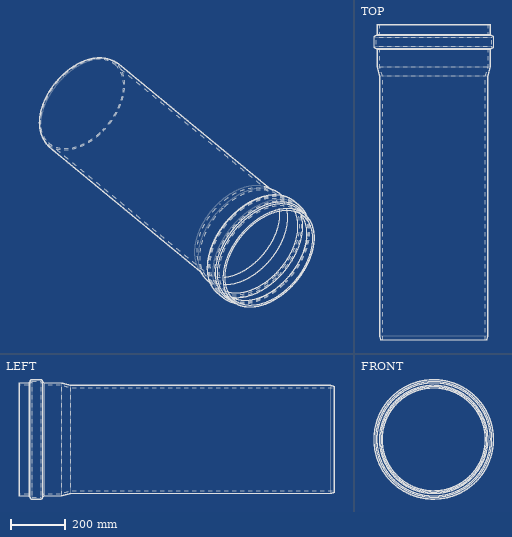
import cadquery as cq
import math

length = 1165.0

pipe_radius = 401.0 / 2
bore_radius = 380.0 / 2
tip_bevel_length = 15.0
tip_bevel_depth = 5.0

socket_radius = 418.0 / 2
socket_bore_radius = 402.0 / 2
socket_depth = 156.0
taper_length = 34.0

bead_radius = 443.0 / 2
groove_radius = 429.0 / 2
bead_setback = 36.0
bead_length = 56.0
bead_flank = 12.0
bead_rounding = 7.0

socket_start = length - socket_depth
taper_start = socket_start - taper_length
bead_end = length - bead_setback
bead_start = bead_end - bead_length

arc_centre_radius = bead_radius - bead_rounding
lower_arc_y = bead_start + bead_flank
upper_arc_y = bead_end - bead_flank
arc_mid_offset = bead_rounding * math.sqrt(0.5)
arc_mid_radius = arc_centre_radius + arc_mid_offset


def revolve_about_y(profile):
    """Close an outline of (radius, y) points and revolve it about the Y axis."""
    return profile.close().revolve(360, (0, 0, 0), (0, 1, 0))


outer_profile = (
    cq.Workplane("XY")
    .lineTo(pipe_radius - tip_bevel_depth, 0)
    .lineTo(pipe_radius, tip_bevel_length)
    .lineTo(pipe_radius, taper_start)
    .lineTo(socket_radius, socket_start)
    .lineTo(socket_radius, bead_start)
    .lineTo(arc_centre_radius, lower_arc_y - bead_rounding)
    .threePointArc((arc_mid_radius, lower_arc_y - arc_mid_offset), (bead_radius, lower_arc_y))
    .lineTo(bead_radius, upper_arc_y)
    .threePointArc(
        (arc_mid_radius, upper_arc_y + arc_mid_offset),
        (arc_centre_radius, upper_arc_y + bead_rounding),
    )
    .lineTo(socket_radius, bead_end)
    .lineTo(socket_radius, length)
    .lineTo(0, length)
)
outer_body = revolve_about_y(outer_profile)

cavity_profile = cq.Workplane("XY").polyline([
    (0, 0),
    (bore_radius, 0),
    (bore_radius, taper_start),
    (socket_bore_radius, socket_start),
    (socket_bore_radius, bead_start),
    (groove_radius, bead_start + bead_flank),
    (groove_radius, bead_end - bead_flank),
    (socket_bore_radius, bead_end),
    (socket_bore_radius, length),
    (0, length),
])
inner_cavity = revolve_about_y(cavity_profile)

result = outer_body.cut(inner_cavity)